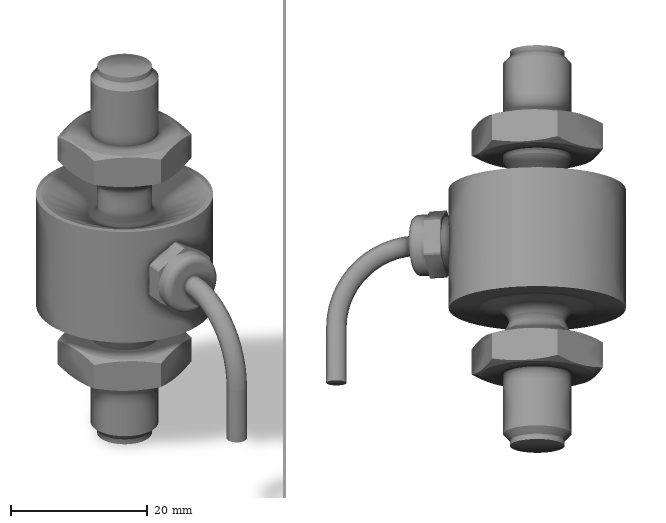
import cadquery as cq
import math

total_height = 60
mid_height = total_height / 2

body_diameter = 26.0
body_height = 18
body_radius = body_diameter / 2
body_bottom = mid_height - body_height / 2
body_top = mid_height + body_height / 2

recess_rim_radius = 12.2
recess_depth = 3.6
recess_fillet = 1.0

base_cone_radius = 8.6
base_cone_height = 0.5
base_cone_tip_radius = 5.65
lower_neck_start = 1.7
lower_neck_edge_radius = 4.25
lower_neck_radius = 4.15

stud_diameter = 10.0
stud_radius = stud_diameter / 2
neck_radius = 4.0
dome_height = 0.2
chamfer_end = 2.0
upper_stud_length = 16.75
lower_stud_length = 17.05
taper_length = 2.05
upper_taper_fillet = 1.15
lower_taper_fillet = 2.75

nut_flats = 17.05
nut_height = 5.05
nut_offset = 10.9
nut_face_radius = 8.2
nut_corner_drop = 0.6

gland_height = 31.5
collar_radius = 4.0
hex_start = 13.55
hex_end = 16.1
hex_flats = 8.9
hex_corner_radius = 5.05
cap_end = 18.5
cap_radius = 4.5
cap_fillet = 1.0

cable_radius = 1.5
cable_bend_radius = 11.65
cable_end_height = 11.4

taper_angle = math.atan2(stud_radius - neck_radius, taper_length)


def revolve_about_z(profile):
    return profile.close().revolve(360, (0, 0, 0), (0, 1, 0))


def taper_reach(fillet):
    """Distance a fillet takes from the taper and from the neck."""
    return fillet * math.tan(taper_angle / 2)


def taper_foot(stud_length, fillet):
    """Radius and height at which the taper meets its fillet."""
    reach = taper_reach(fillet)
    foot_radius = neck_radius + reach * math.sin(taper_angle)
    return foot_radius, stud_length + taper_length - reach * math.cos(taper_angle)


def stud_end(stud_length, fillet):
    """Profile from the domed free end, at Z = 0, to the end of the taper."""
    dome_sphere = (neck_radius**2 + dome_height**2) / (2 * dome_height)
    half_radius = neck_radius / 2
    half_rise = dome_sphere - math.sqrt(dome_sphere**2 - half_radius**2)
    return (
        cq.Workplane("XZ")
        .moveTo(0, 0)
        .threePointArc((half_radius, half_rise), (neck_radius, dome_height))
        .lineTo(neck_radius, chamfer_end - (stud_radius - neck_radius))
        .lineTo(stud_radius, chamfer_end)
        .lineTo(stud_radius, stud_length)
        .lineTo(*taper_foot(stud_length, fillet))
    )


def upper_stud():
    """Stud whose taper blends into a straight neck that reaches into the body."""
    neck_start = upper_stud_length + taper_length + taper_reach(upper_taper_fillet)
    profile = (
        stud_end(upper_stud_length, upper_taper_fillet)
        .tangentArcPoint((neck_radius, neck_start), relative=False)
        .lineTo(neck_radius, mid_height)
        .lineTo(0, mid_height)
    )
    return revolve_about_z(profile).mirror("XY").translate((0, 0, total_height))


def lower_stud():
    """Stud with a waisted neck that flares out into the cone under the body."""
    foot_height = taper_foot(lower_stud_length, lower_taper_fillet)[1]
    neck_top = body_bottom - lower_neck_start
    cone_slope = math.atan2(base_cone_height, base_cone_radius - base_cone_tip_radius)
    cone_tip = body_bottom - base_cone_height

    flare_run = base_cone_tip_radius - lower_neck_edge_radius
    flare_rise = cone_tip - neck_top
    bulge_ratio = math.tan((math.atan2(flare_rise, flare_run) - cone_slope) / 2) / 2
    flare_middle = (
        lower_neck_edge_radius + flare_run / 2 - bulge_ratio * flare_rise,
        neck_top + flare_rise / 2 + bulge_ratio * flare_run,
    )
    profile = (
        stud_end(lower_stud_length, lower_taper_fillet)
        .threePointArc(
            (lower_neck_radius, (foot_height + neck_top) / 2),
            (lower_neck_edge_radius, neck_top),
        )
        .threePointArc(flare_middle, (base_cone_tip_radius, cone_tip))
        .lineTo(base_cone_radius, body_bottom)
        .lineTo(base_cone_radius, mid_height)
        .lineTo(0, mid_height)
    )
    return revolve_about_z(profile)


def body():
    """Cylinder with a conical recess that is filleted up to the neck."""
    slope = math.atan2(recess_depth, recess_rim_radius - neck_radius)
    reach = recess_fillet / math.tan((math.pi / 2 - slope) / 2)
    recess_floor = body_top - recess_depth
    profile = (
        cq.Workplane("XZ")
        .moveTo(0, body_bottom)
        .lineTo(body_radius, body_bottom)
        .lineTo(body_radius, body_top)
        .lineTo(recess_rim_radius, body_top)
        .lineTo(neck_radius + reach * math.cos(slope), recess_floor + reach * math.sin(slope))
        .tangentArcPoint((neck_radius, recess_floor + reach), relative=False)
        .lineTo(0, recess_floor + reach)
    )
    return revolve_about_z(profile)


def hexagon(plane, flats, height):
    corner_diameter = flats / math.cos(math.pi / 6)
    return cq.Workplane(plane).polygon(6, corner_diameter).extrude(height)


def nut(bottom):
    """Hexagon nut with both faces coned off towards the corners."""
    corner_radius = nut_flats / 2 / math.cos(math.pi / 6)
    envelope = revolve_about_z(
        cq.Workplane("XZ")
        .moveTo(0, 0)
        .lineTo(nut_face_radius, 0)
        .lineTo(corner_radius, nut_corner_drop)
        .lineTo(corner_radius, nut_height - nut_corner_drop)
        .lineTo(nut_face_radius, nut_height)
        .lineTo(0, nut_height)
    )
    return hexagon("XY", nut_flats, nut_height).intersect(envelope).translate((0, 0, bottom))


def disc_along_x(radius, start, end):
    return cq.Workplane("YZ", origin=(start, 0, 0)).circle(radius).extrude(end - start)


def gland():
    """Collar, hexagon with turned-down corners and rounded cap, all along X."""
    collar = disc_along_x(collar_radius, 0, hex_start)
    wrench_hex = (
        hexagon("YZ", hex_flats, hex_end - hex_start)
        .rotate((0, 0, 0), (1, 0, 0), 90)
        .translate((hex_start, 0, 0))
        .intersect(disc_along_x(hex_corner_radius, hex_start, hex_end))
    )
    cap = disc_along_x(cap_radius, hex_end, cap_end).faces(">X").edges().fillet(cap_fillet)
    return collar.union(wrench_hex).union(cap).translate((0, 0, gland_height))


def cable():
    """Round cable leaving the cap along X and bending straight down."""
    bend_end = (cap_end + cable_bend_radius, gland_height - cable_bend_radius)
    path = (
        cq.Workplane("XZ")
        .moveTo(hex_end, gland_height)
        .lineTo(cap_end, gland_height)
        .tangentArcPoint(bend_end, relative=False)
        .lineTo(bend_end[0], cable_end_height)
    )
    section = cq.Workplane("YZ", origin=(hex_end, 0, gland_height)).circle(cable_radius)
    return section.sweep(path)


result = body().union(upper_stud()).union(lower_stud())
for nut_bottom in (nut_offset, total_height - nut_offset - nut_height):
    result = result.union(nut(nut_bottom))
result = result.union(gland()).union(cable())